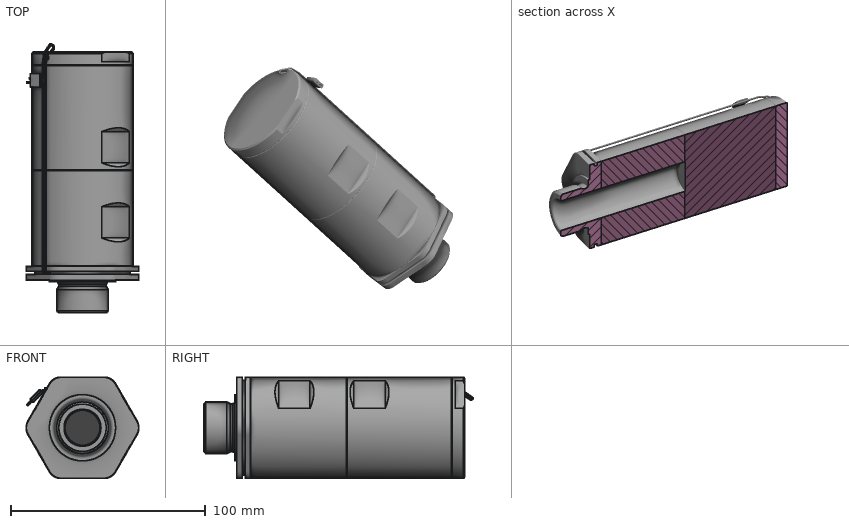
import cadquery as cq
import math


across_flats = 52.0
corner_fillet = 7.0
front_plate_end = 3.0
wire_groove_end = 4.5
flange_end = 7.1
wire_groove_radius = 24.5
face_ring_radius = 17.0
face_ring_height = 0.9
thread_radius = 13.25
thread_start = -5.0
spigot_end = -16.85
spigot_tip_chamfer = 1.1
relief_radius = 12.3
relief_collar_radius = 12.8
relief_start = -2.0
relief_end = -3.2
bore_radius = 9.0
bore_chamfer = 0.5

body_radius = across_flats / 2
lower_end = 56.5
upper_end = 110.3
cap_end = 117.1
seam_chamfer = 0.25
cap_edge_chamfer = 0.8

flat_distance = 24.0
flat_length = 16.0
flat_depth = body_radius - flat_distance
lower_flat_center = 29.65
upper_flat_center = 68.2
cap_flat_length = 5.0

wire_radius = 0.4
leg_offset = 0.85
leg_height = 27.75
bend_size = 0.7
cap_hole_radius = 0.9
cap_hole_offset = -0.4
cap_hole_sum = 140.3
loop_top = 121.42

seal_size = 7.0
seal_half_thickness = 1.15
seal_center_y = 102.5
seal_near_edge = 1.7
seal_mid_height = 28.25
seal_edge_fillet = 0.8
tail_spacing = 2.1
short_tail_end = 10.0
long_tail_end = 11.8

overcut = 10.0


def wire_plane(height=0.0):
    """Plane facing outward at the wire: local x is +Y, local y is sideways, local z is outward."""
    outward = cq.Vector(-1, 0, 1).normalized()
    return cq.Plane(origin=outward * height, xDir=(0, 1, 0), normal=outward)


def revolved(profile):
    """Solid of revolution about Y from (radius, y) points."""
    return cq.Workplane("XY").polyline(profile).close().revolve(360, (0, 0), (0, 1))


def barrel(start, end, start_chamfer, end_chamfer):
    """Cylinder along Y with chamfered ends."""
    return revolved([
        (0, start),
        (body_radius - start_chamfer, start),
        (body_radius, start + start_chamfer),
        (body_radius, end - end_chamfer),
        (body_radius - end_chamfer, end),
        (0, end),
    ])


def bore_cutter(start, end):
    return cq.Workplane("XZ", origin=(0, start, 0)).circle(bore_radius).extrude(start - end)


def cut_flats(body, start, end, slope_run):
    """Cut two opposite flats, facing (+X, +Z) and (-X, -Z), whose end walls run out over slope_run."""
    side = cq.Plane(origin=(0, 0, 0), xDir=(0, 1, 0), normal=(1, 0, -1))
    top_run = slope_run * (flat_depth + overcut) / flat_depth
    for direction in (1, -1):
        cutter = (
            cq.Workplane(side)
            .polyline([
                (start, direction * flat_distance),
                (end, direction * flat_distance),
                (end + top_run, direction * (body_radius + overcut)),
                (start - top_run, direction * (body_radius + overcut)),
            ])
            .close()
            .extrude(body_radius, both=True)
        )
        body = body.cut(cutter)
    return body


def hex_plate(start, end):
    corner_diameter = across_flats / math.cos(math.pi / 6)
    return (
        cq.Workplane("XZ", origin=(0, start, 0))
        .polygon(6, corner_diameter)
        .extrude(start - end)
        .edges("|Y")
        .fillet(corner_fillet)
    )


def make_flange():
    """Two hexagonal plates around a wire groove, with the bored and threaded spigot in front."""
    core = revolved([
        (0, flange_end),
        (wire_groove_radius, flange_end),
        (wire_groove_radius, 0),
        (face_ring_radius, 0),
        (face_ring_radius, -face_ring_height),
        (relief_collar_radius, -face_ring_height),
        (relief_radius, relief_start),
        (relief_radius, relief_end),
        (thread_radius, thread_start),
        (thread_radius, spigot_end + spigot_tip_chamfer),
        (thread_radius - spigot_tip_chamfer, spigot_end),
        (0, spigot_end),
    ])
    mouth = revolved([
        (0, spigot_end),
        (bore_radius + bore_chamfer, spigot_end),
        (bore_radius, spigot_end + bore_chamfer),
        (0, spigot_end + bore_chamfer),
    ])
    flange = core.union(hex_plate(0, front_plate_end)).union(hex_plate(wire_groove_end, flange_end))
    return flange.cut(bore_cutter(spigot_end, flange_end)).cut(mouth)


def make_lower_housing():
    housing = barrel(flange_end, lower_end, seam_chamfer, seam_chamfer)
    start = lower_flat_center - flat_length / 2
    housing = cut_flats(housing, start, start + flat_length, flat_depth)
    return housing.cut(bore_cutter(flange_end, lower_end))


def make_upper_housing():
    housing = barrel(lower_end, upper_end, seam_chamfer, seam_chamfer)
    start = upper_flat_center - flat_length / 2
    return cut_flats(housing, start, start + flat_length, flat_depth)


def make_cap():
    """End cap with two open-ended flats and a slanted wire hole through its rim."""
    cap = barrel(upper_end, cap_end, seam_chamfer, cap_edge_chamfer)
    cap = cut_flats(cap, cap_end - cap_flat_length, cap_end + overcut, 0)
    inner_point = (cap_end + overcut / 2, cap_hole_offset, cap_hole_sum - cap_end - overcut / 2)
    outer_point = (cap_hole_sum - leg_height, cap_hole_offset, leg_height)
    return cap.cut(rod(inner_point, outer_point, cap_hole_radius))


def rod(start, end, radius):
    """Cylinder between two points given in the wire plane."""
    plane = wire_plane()
    first = plane.toWorldCoords(start)
    span = plane.toWorldCoords(end) - first
    return cq.Workplane(obj=cq.Solid.makeCylinder(radius, span.Length, first, span))


def make_wire(points):
    """Round wire through (y, sideways, outward) points with rounded joints."""
    route = [wire_plane().toWorldCoords(point) for point in points]
    path = cq.Workplane("XY").polyline(route)
    section = cq.Plane(origin=route[0], normal=route[1] - route[0])
    return cq.Workplane(section).circle(wire_radius).sweep(path, transition="round")


def groove_hook(offset):
    """Points of the inward bend that ends on the floor of the flange groove."""
    hook_y = (front_plate_end + wire_groove_end) / 2
    return [
        (hook_y, offset, wire_groove_radius),
        (hook_y, offset, leg_height - bend_size),
        (hook_y + bend_size, offset, leg_height),
    ]


def seal_passage(tail_y, approach_y, tail_end):
    """Points that lead from the straight leg sideways through the seal to the free tail."""
    return [
        (approach_y, leg_offset, leg_height),
        (tail_y, leg_offset + bend_size, seal_mid_height),
        (tail_y, tail_end, seal_mid_height),
    ]


def make_long_wire():
    """From the groove to the cap, through the rim hole, back over the edge and into the seal."""
    hole_leg_y = 111.0
    rim_y = 113.55
    loop_crest = loop_top - wire_radius
    loop_inner = 20.9
    hole_entry_y = cap_end + 1.9
    over_edge_y = 116.5
    over_edge_height = 26.75
    tail_y = seal_center_y + tail_spacing / 2
    return make_wire(groove_hook(-leg_offset) + [
        (hole_leg_y, -leg_offset, leg_height),
        (rim_y, cap_hole_offset, cap_hole_sum - rim_y),
        (hole_entry_y, cap_hole_offset, cap_hole_sum - hole_entry_y),
        (loop_crest - bend_size, leg_offset / 2, loop_inner),
        (loop_crest, leg_offset, loop_inner + 2 * bend_size),
        (over_edge_y, leg_offset, over_edge_height),
        (hole_leg_y, leg_offset, leg_height),
    ] + seal_passage(tail_y, tail_y + bend_size, short_tail_end))


def make_short_wire():
    """From the groove to the seal and out to the longer tail."""
    tail_y = seal_center_y - tail_spacing / 2
    return make_wire(groove_hook(leg_offset) + seal_passage(tail_y, tail_y - bend_size, long_tail_end))


def make_seal_half(direction, wires):
    """One half of the seal, outside (1) or inside (-1) the plane of the wires."""
    half = (
        cq.Workplane("XY")
        .box(seal_size, seal_size, seal_half_thickness, centered=(True, False, False))
        .edges("|Y and >Z")
        .fillet(seal_edge_fillet)
    )
    if direction < 0:
        half = half.mirror("XY")
    half = half.translate((seal_center_y, seal_near_edge, 0))
    half = cq.Workplane(obj=half.val().moved(cq.Location(wire_plane(seal_mid_height))))
    for wire in wires:
        half = half.cut(wire)
    return half


flange = make_flange()
lower_housing = make_lower_housing()
upper_housing = make_upper_housing()
cap = make_cap()
long_wire = make_long_wire()
short_wire = make_short_wire()
seal_halves = [make_seal_half(direction, (long_wire, short_wire)) for direction in (1, -1)]

result = cq.Compound.makeCompound([
    flange.val(),
    lower_housing.val(),
    upper_housing.val(),
    cap.val(),
    long_wire.val(),
    short_wire.val(),
    *[half.val() for half in seal_halves],
])